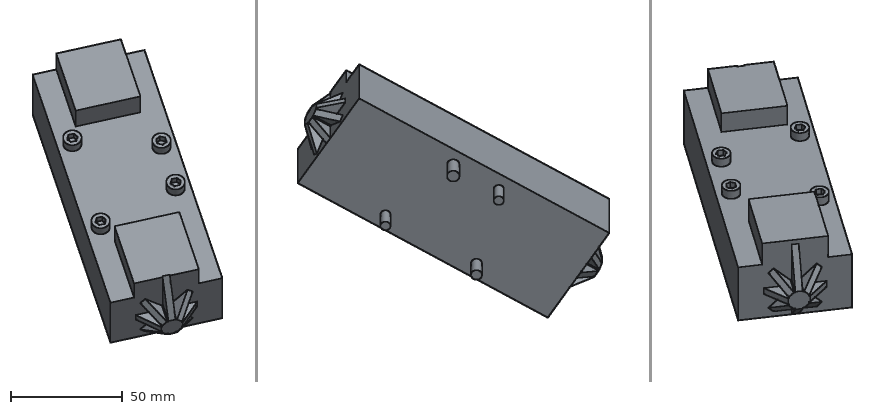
import cadquery as cq

overall_length = 151.0
body_width = 52.0
body_height = 30.0
hub_depth = 9.5
body_length = overall_length - 2 * hub_depth
half_body = body_length / 2
hub_z = body_height / 2

block_length = 33.0
block_width = 30.0
left_block_height = 12.0
right_block_height = 10.5

hub_radius = 5.0
rib_width = 3.3
side_reach = 14.3
diagonal_reach = 15.5
top_reach = 24.5
bottom_reach = hub_z

outer_screw_x = 24.0
inner_screw_x = outer_screw_x / 2
screw_y = 19.0
screws = [
    (-outer_screw_x, -screw_y, 5.0, 90),
    (-inner_screw_x, screw_y, 4.5, 0),
    (inner_screw_x, screw_y, 5.6, 90),
    (outer_screw_x, -screw_y, 4.5, 90),
]
head_diameter = 8.3
head_height = 4.5
shank_projection = 10.0
socket_diameter = 4.8
socket_depth = 3.0


def top_block(center_x, height):
    block = cq.Workplane("XY").rect(block_length, block_width).extrude(height)
    return block.translate((center_x, 0, body_height))


def rib(reach):
    """Upright rib on the +X end, sloping from the hub rim down to the wall."""
    outline = [
        (half_body, 0),
        (half_body, reach),
        (half_body + hub_depth, hub_radius),
        (half_body + hub_depth, 0),
    ]
    return cq.Workplane("XZ").polyline(outline).close().extrude(rib_width / 2, both=True)


def ribbed_hub():
    """Hub and ribs on the +X end, built about the X axis and then lifted to the hub height."""
    hub = cq.Workplane("YZ", origin=(half_body, 0, 0)).circle(hub_radius).extrude(hub_depth)
    flank_reaches = [diagonal_reach, side_reach, diagonal_reach]
    reaches = [top_reach] + flank_reaches + [bottom_reach] + flank_reaches
    for index, reach in enumerate(reaches):
        angle = index * 360 / len(reaches)
        hub = hub.union(rib(reach).rotate((0, 0, 0), (1, 0, 0), angle))
    return hub.translate((0, 0, hub_z))


def rib_notch():
    """Wedge that carries the slope of the +X top rib on through the edge of the block."""
    wall_z = hub_z + top_reach
    block_top = body_height + right_block_height
    slope = (top_reach - hub_radius) / hub_depth
    run = (block_top - wall_z) / slope
    outline = [(half_body, wall_z), (half_body, block_top), (half_body - run, block_top)]
    return cq.Workplane("XZ").polyline(outline).close().extrude(rib_width / 2, both=True)


def screw(x, y, shank_diameter, socket_angle):
    """Socket head above the body and shank end below it."""
    head = cq.Workplane("XY").circle(head_diameter / 2).extrude(head_height)
    socket = cq.Workplane("XY").polygon(6, socket_diameter).extrude(socket_depth)
    socket = socket.rotate((0, 0, 0), (0, 0, 1), socket_angle)
    head = head.cut(socket.translate((0, 0, head_height - socket_depth)))
    shank = cq.Workplane("XY").circle(shank_diameter / 2).extrude(-shank_projection)
    return head.translate((x, y, body_height)), shank.translate((x, y, 0))


result = cq.Workplane("XY").rect(body_length, body_width).extrude(body_height)

block_x = half_body - block_length / 2
result = result.union(top_block(-block_x, left_block_height))
result = result.union(top_block(block_x, right_block_height))

right_hub = ribbed_hub()
result = result.union(right_hub).union(right_hub.mirror("YZ"))
result = result.cut(rib_notch())

for x, y, shank_diameter, socket_angle in screws:
    head, shank = screw(x, y, shank_diameter, socket_angle)
    result = result.union(head).union(shank)